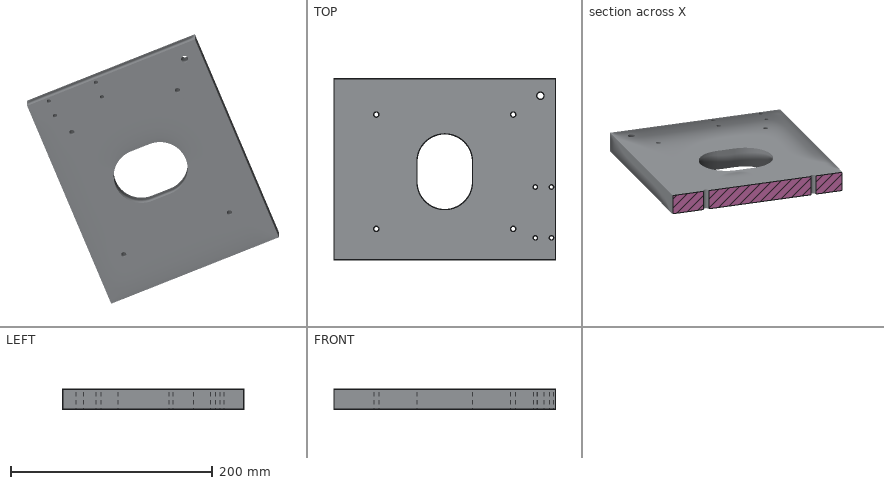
import cadquery as cq

plate_length = 220.0
plate_width = 180.0
plate_thickness = 20.0

pattern_center_y = -2.5

slot_width = 55.0
slot_length = 75.0

mount_hole_diameter = 5.0
mount_spacing_x = 136.0
mount_spacing_y = 113.5

bracket_hole_diameter = 4.2
bracket_spacing_x = 16.0
bracket_spacing_y = 50.5
bracket_edge_distance = 4.0
bracket_center_x = plate_length / 2 - bracket_edge_distance - bracket_spacing_x / 2
bracket_center_y = -42.95

corner_hole_diameter = 7.0
corner_hole_inset_x = 15.0
corner_hole_inset_y = 17.0


def make_plate():
    return cq.Workplane("XY").box(
        plate_length, plate_width, plate_thickness, centered=(True, True, False)
    )


def cut_slot(body):
    cutter = (
        cq.Workplane("XY")
        .center(0, pattern_center_y)
        .slot2D(slot_length, slot_width, 90)
        .extrude(plate_thickness)
    )
    return body.cut(cutter)


def drill_through(body, points, diameter):
    cutter = (
        cq.Workplane("XY")
        .pushPoints(points)
        .circle(diameter / 2)
        .extrude(plate_thickness)
    )
    return body.cut(cutter)


def rectangle_corners(center_x, center_y, spacing_x, spacing_y):
    return [
        (center_x + side_x * spacing_x / 2, center_y + side_y * spacing_y / 2)
        for side_x in (-1, 1)
        for side_y in (-1, 1)
    ]


mount_points = rectangle_corners(0, pattern_center_y, mount_spacing_x, mount_spacing_y)
bracket_points = rectangle_corners(
    bracket_center_x, bracket_center_y, bracket_spacing_x, bracket_spacing_y
)
corner_point = (
    plate_length / 2 - corner_hole_inset_x,
    plate_width / 2 - corner_hole_inset_y,
)

result = make_plate()
result = cut_slot(result)
result = drill_through(result, mount_points, mount_hole_diameter)
result = drill_through(result, bracket_points, bracket_hole_diameter)
result = drill_through(result, [corner_point], corner_hole_diameter)